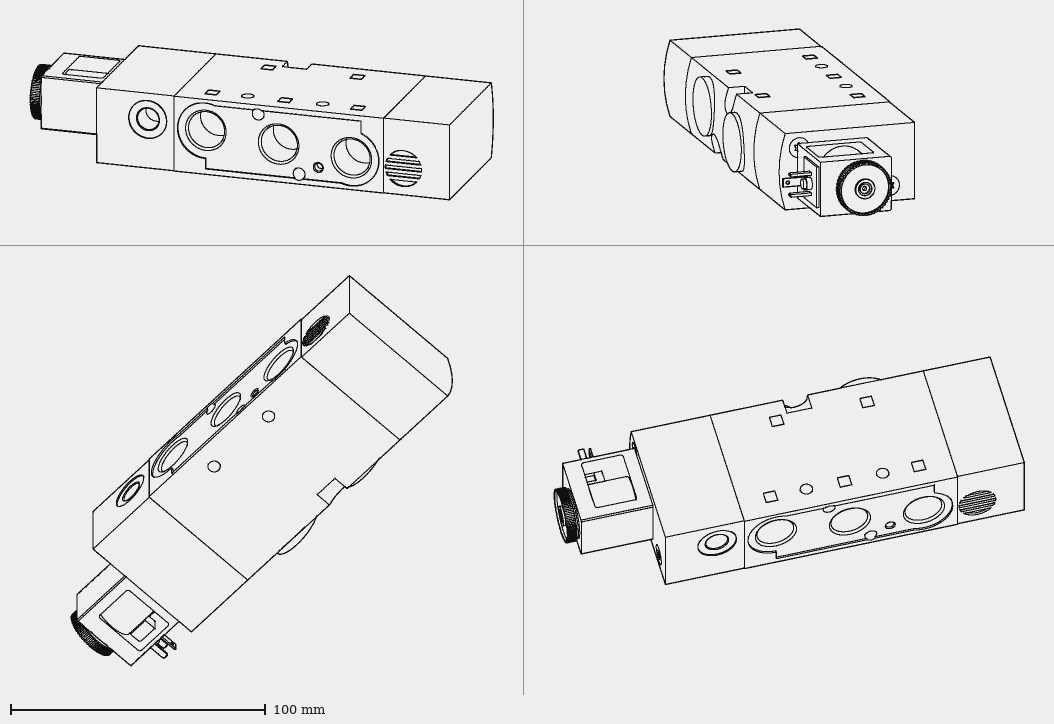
import cadquery as cq
import math

TOTAL_LENGTH = 179.6
HEIGHT = 31.0
MID_Z = HEIGHT / 2
BACK_CREST_Y = 56.2
BACK_EDGE_Y = 53.7
BLOCK_FRONT_Y = 0.27
BLOCK_MID_Y = 29.3

FRAME_X = 5.0
PILOT_X = 34.1
BODY_X = 66.1
CAP_X = 152.5
BODY_MID_X = 109.0

PORT_DIA = 15.0
PORT_CHAMFER = 0.9
PORT_DEPTH = 16.2
PORT_PITCH = 30.0
PORT_RISE = 2.5
GASKET_RADIUS = 11.5
GASKET_DEPTH = 0.7
GASKET_HALF_HEIGHT = 13.3
GASKET_END = 4.1
BOLT_DIA = 4.9
BOLT_OFFSET_X = 8.5
BOLT_OFFSET_Z = 11.5
BOLT_HEAD_WIDTH = 10.0
BOLT_HEAD_FLOOR_Y = 47.0
VENT_DIA = 3.2
VENT_X, VENT_Z = 125.4, 7.5
VENT_CHAMFER = 0.45
VENT_DEPTH = 3.6
MOUNT_DIA = 4.9
MOUNT_Y = 9.2
MOUNT_OFFSET_X = 15.5
PAD_DIA = 23.4
PAD_FACE_Y = 57.3
PAD_BASE_Y = 45.0
PAD_OFFSET_X = 18.9
PAD_OFFSET_Z = 2.3
TAG_SIZE = 4.7
TAG_DEPTH = 0.2
TAG_BACK_OFFSET_X = 18.3
TAG_FRONT_Y, TAG_BACK_Y = 9.2, 44.5

PILOT_PORT_X, PILOT_PORT_Z = 55.2, 20.1
PILOT_RING_DIA = 15.6
PILOT_RING_DEPTH = 0.5
PILOT_PORT_DIA = 8.8
PILOT_PORT_CHAMFER = 0.4
PILOT_PORT_DEPTH = 10.8

SCREW_DIA = 8.0
SCREW_LENGTH = 5.4
SCREW_OFFSET_Y = 18.7
SCREW_OFFSET_Z = 9.3
SOCKET_DIA = 4.0
SOCKET_INNER_DIA = 2.5
SOCKET_POINTS = 6
SOCKET_DEPTH = 0.9

GRILLE_X, GRILLE_Z = 160.6, 11.0
GRILLE_DIA = 15.0
GRILLE_BAR = 1.5
GRILLE_PITCH = 2.9
GRILLE_DEPTH = 0.9

SOLENOID_Y = 31.8
FRAME_FRONT_Y, FRAME_BACK_Y = 19.4, 48.7
FRAME_HEIGHT = 22.1
FRAME_CHAMFER = 0.5
WINDOW_X, WINDOW_END_X = 12.0, 29.0
WINDOW_FRONT_Y, WINDOW_BACK_Y = 24.3, 46.9
WINDOW_FILLET = 1.0
COIL_DIA = 20.0
COIL_PROUD = 0.5

KNOB_DIA = 21.5
KNOB_LENGTH = 3.8
KNOB_TEETH = 48
TOOTH_DEPTH = 0.4
TOOTH_GAP = 0.7
KNOB_DISH_DIA = 19.8
KNOB_DISH_DEPTH = 0.9
HUB_DIA = 7.9
KNOB_SOCKET_STEPS = ((5.4, 0.4), (4.0, 0.9), (1.75, 2.7))
STEM_DIA = 10.0

PLATE_X, PLATE_END_X = 7.0, 23.2
PLATE_HEIGHT = 16.5
PLATE_RISE = 0.4
PLATE_FACE_Y = 49.5
PLUG_END_X = 20.5
PLUG_HEIGHT = 6.1
PLUG_NOTCH_X, PLUG_NOTCH_Y = 17.2, 43.1
PLUG_NOTCH_DEPTH = 1.8
TERMINAL_X = 15.0
TERMINAL_PITCH = 8.3
TERMINAL_WIDTH = 2.3
TERMINAL_THICKNESS = 1.0
TERMINAL_TIP_Y = 58.4
TERMINAL_CHAMFER = 0.45
BOSS_STEPS = ((4.9, 51.7), (4.0, 53.0))
EARTH_X = 18.9
EARTH_THICKNESS = 0.7
EARTH_WIDTH = 3.5
EARTH_TIP_Y = 59.8
EARTH_CHAMFER = 0.27
EARTH_HOLE_DIA = 1.3
EARTH_HOLE_INSET = 2.2


def box(x0, x1, y0, y1, z0, z1):
    """Box between two corners."""
    return cq.Workplane("XY").box(x1 - x0, y1 - y0, z1 - z0, centered=False).translate((x0, y0, z0))


def cylinder_x(dia, y, z, x0, x1):
    """Cylinder along X."""
    return cq.Workplane("YZ", origin=(x0, y, z)).circle(dia / 2).extrude(x1 - x0)


def cylinder_y(dia, x, z, y0, y1):
    """Cylinder along Y."""
    return cq.Workplane("XZ", origin=(x, y0, z)).circle(dia / 2).extrude(y0 - y1)


def chamfered_bore(dia, chamfer, x, z, y0, depth):
    """Cutter for a blind hole that enters at y0 and runs toward +Y."""
    radius = dia / 2
    profile = [
        (0, y0),
        (radius + chamfer, y0),
        (radius, y0 + chamfer),
        (radius, y0 + depth),
        (0, y0 + depth),
    ]
    return cq.Workplane("XY").polyline(profile).close().revolve(360, (0, 0), (0, 1)).translate((x, 0, z))


def valve_block(x0, x1, front_y):
    """Length of the valve section with its gently rounded back."""
    return (
        cq.Workplane("YZ", origin=(x0, 0, 0))
        .moveTo(front_y, 0)
        .lineTo(BACK_EDGE_Y, 0)
        .threePointArc((BACK_CREST_Y, MID_Z), (BACK_EDGE_Y, HEIGHT))
        .lineTo(front_y, HEIGHT)
        .close()
        .extrude(x1 - x0)
    )


def gasket_recess():
    """Shallow recess: a bar that joins the circles around the outer ports."""
    left_x = BODY_MID_X - PORT_PITCH
    right_x = BODY_MID_X + PORT_PITCH
    bar = box(left_x, right_x + GASKET_END, 0, GASKET_DEPTH,
              MID_Z - GASKET_HALF_HEIGHT, MID_Z + GASKET_HALF_HEIGHT)
    left = cylinder_y(2 * GASKET_RADIUS, left_x, MID_Z + PORT_RISE, 0, GASKET_DEPTH)
    right = cylinder_y(2 * GASKET_RADIUS, right_x, MID_Z - PORT_RISE, 0, GASKET_DEPTH)
    return bar.union(left).union(right)


def bolt_cut(side):
    """Through bolt hole with a head slot open to the top (side 1) or base (side -1)."""
    x = BODY_MID_X - side * BOLT_OFFSET_X
    z = MID_Z + side * BOLT_OFFSET_Z
    outer_z = MID_Z + side * HEIGHT
    hole = cylinder_y(BOLT_DIA, x, z, 0, BACK_CREST_Y)
    seat = cylinder_y(BOLT_HEAD_WIDTH, x, z, BOLT_HEAD_FLOOR_Y, PAD_FACE_Y)
    slot = box(x - BOLT_HEAD_WIDTH / 2, x + BOLT_HEAD_WIDTH / 2, BOLT_HEAD_FLOOR_Y, PAD_FACE_Y,
               min(z, outer_z), max(z, outer_z))
    return hole.union(seat).union(slot)


def make_valve_body():
    body = valve_block(BODY_X, CAP_X, 0)
    for side in (-1, 1):
        pad = cylinder_y(PAD_DIA, BODY_MID_X + side * PAD_OFFSET_X, MID_Z + side * PAD_OFFSET_Z,
                         PAD_BASE_Y, PAD_FACE_Y)
        body = body.union(pad)
    body = body.cut(gasket_recess())
    for step in (-1, 0, 1):
        body = body.cut(chamfered_bore(PORT_DIA, PORT_CHAMFER, BODY_MID_X + step * PORT_PITCH,
                                       MID_Z - step * PORT_RISE, GASKET_DEPTH, PORT_DEPTH))
    body = body.cut(chamfered_bore(VENT_DIA, VENT_CHAMFER, VENT_X, VENT_Z,
                                   GASKET_DEPTH, VENT_DEPTH))
    for side in (-1, 1):
        body = body.cut(bolt_cut(side))
        mount = cq.Workplane("XY", origin=(BODY_MID_X + side * MOUNT_OFFSET_X, MOUNT_Y, 0))
        body = body.cut(mount.circle(MOUNT_DIA / 2).extrude(HEIGHT))

    tags = [(BODY_MID_X + step * PORT_PITCH, TAG_FRONT_Y) for step in (-1, 0, 1)]
    tags += [(BODY_MID_X + side * TAG_BACK_OFFSET_X, TAG_BACK_Y) for side in (-1, 1)]
    tag_cut = cq.Workplane("XY", origin=(0, 0, HEIGHT)).pushPoints(tags)
    return body.cut(tag_cut.rect(TAG_SIZE, TAG_SIZE).extrude(-TAG_DEPTH))


SCREW_CENTRES = [(BLOCK_MID_Y + side * SCREW_OFFSET_Y, MID_Z + side * SCREW_OFFSET_Z) for side in (-1, 1)]


def make_pilot_block():
    block = valve_block(PILOT_X, BODY_X, BLOCK_FRONT_Y)
    ring_floor_y = BLOCK_FRONT_Y + PILOT_RING_DEPTH
    block = block.cut(cylinder_y(PILOT_RING_DIA, PILOT_PORT_X, PILOT_PORT_Z, BLOCK_FRONT_Y, ring_floor_y))
    block = block.cut(chamfered_bore(PILOT_PORT_DIA, PILOT_PORT_CHAMFER, PILOT_PORT_X, PILOT_PORT_Z,
                                     ring_floor_y, PILOT_PORT_DEPTH))
    for y, z in SCREW_CENTRES:
        block = block.cut(cylinder_x(SCREW_DIA, y, z, PILOT_X, PILOT_X + SCREW_LENGTH))
    return block


def make_screw(y, z):
    """Flush screw head with a six-pointed socket."""
    star = []
    for corner in range(2 * SOCKET_POINTS):
        radius = (SOCKET_INNER_DIA if corner % 2 else SOCKET_DIA) / 2
        angle = math.pi / 2 + corner * math.pi / SOCKET_POINTS
        star.append((radius * math.cos(angle), radius * math.sin(angle)))
    socket = cq.Workplane("YZ", origin=(PILOT_X, y, z)).polyline(star).close().extrude(SOCKET_DEPTH)
    return cylinder_x(SCREW_DIA, y, z, PILOT_X, PILOT_X + SCREW_LENGTH).cut(socket)


def make_end_cap():
    cap = valve_block(CAP_X, TOTAL_LENGTH, BLOCK_FRONT_Y)
    grille_floor_y = BLOCK_FRONT_Y + GRILLE_DEPTH
    radius = GRILLE_DIA / 2
    grille = cylinder_y(GRILLE_DIA, GRILLE_X, GRILLE_Z, BLOCK_FRONT_Y, grille_floor_y)
    for step in (-1.5, -0.5, 0.5, 1.5):
        bar_z = GRILLE_Z + step * GRILLE_PITCH
        grille = grille.cut(box(GRILLE_X - radius, GRILLE_X + radius, BLOCK_FRONT_Y, grille_floor_y,
                                bar_z - GRILLE_BAR / 2, bar_z + GRILLE_BAR / 2))
    return cap.cut(grille)


def make_coil():
    return cylinder_x(COIL_DIA, SOLENOID_Y, MID_Z, FRAME_X - COIL_PROUD, WINDOW_END_X)


def plug_block():
    """Part of the connector that passes through the frame wall toward the coil."""
    return box(WINDOW_X, PLUG_END_X, SOLENOID_Y + COIL_DIA / 2, FRAME_BACK_Y,
               MID_Z - PLUG_HEIGHT / 2, MID_Z + PLUG_HEIGHT / 2)


def make_frame():
    bottom_z = MID_Z - FRAME_HEIGHT / 2
    top_z = MID_Z + FRAME_HEIGHT / 2
    frame = box(FRAME_X, PILOT_X, FRAME_FRONT_Y, FRAME_BACK_Y, bottom_z, top_z)
    frame = frame.faces("<Y").edges("|X").chamfer(FRAME_CHAMFER)
    window = box(WINDOW_X, WINDOW_END_X, WINDOW_FRONT_Y, WINDOW_BACK_Y, bottom_z, top_z)
    window = window.edges("|Z").fillet(WINDOW_FILLET)
    return frame.cut(window).cut(make_coil()).cut(plug_block())


def make_knob():
    knob = cylinder_x(KNOB_DIA, SOLENOID_Y, MID_Z, 0, KNOB_LENGTH)
    groove = box(0, KNOB_LENGTH, KNOB_DIA / 2 - TOOTH_DEPTH, KNOB_DIA / 2 + TOOTH_DEPTH,
                 -TOOTH_GAP / 2, TOOTH_GAP / 2)
    for tooth in range(KNOB_TEETH):
        turned = groove.rotate((0, 0, 0), (1, 0, 0), tooth * 360 / KNOB_TEETH)
        knob = knob.cut(turned.translate((0, SOLENOID_Y, MID_Z)))
    dish = cylinder_x(KNOB_DISH_DIA, SOLENOID_Y, MID_Z, 0, KNOB_DISH_DEPTH)
    hub = cylinder_x(HUB_DIA, SOLENOID_Y, MID_Z, 0, KNOB_DISH_DEPTH)
    knob = knob.cut(dish.cut(hub))
    for dia, depth in KNOB_SOCKET_STEPS:
        knob = knob.cut(cylinder_x(dia, SOLENOID_Y, MID_Z, 0, depth))
    stem = cylinder_x(STEM_DIA, SOLENOID_Y, MID_Z, KNOB_LENGTH, FRAME_X - COIL_PROUD)
    return knob.union(stem)


def make_connector():
    plate_bottom_z = MID_Z + PLATE_RISE - PLATE_HEIGHT / 2
    plate = box(PLATE_X, PLATE_END_X, FRAME_BACK_Y, PLATE_FACE_Y,
                plate_bottom_z, plate_bottom_z + PLATE_HEIGHT)
    plug_top_z = MID_Z + PLUG_HEIGHT / 2
    notch = box(WINDOW_X, PLUG_NOTCH_X, PLUG_NOTCH_Y, WINDOW_BACK_Y,
                plug_top_z - PLUG_NOTCH_DEPTH, plug_top_z)
    connector = plate.union(plug_block().cut(notch))
    for side in (-1, 1):
        z = MID_Z + side * TERMINAL_PITCH / 2
        terminal = box(TERMINAL_X - TERMINAL_WIDTH / 2, TERMINAL_X + TERMINAL_WIDTH / 2,
                       PLATE_FACE_Y, TERMINAL_TIP_Y,
                       z - TERMINAL_THICKNESS / 2, z + TERMINAL_THICKNESS / 2)
        connector = connector.union(terminal.faces(">Y").edges().chamfer(TERMINAL_CHAMFER))
    for dia, top_y in BOSS_STEPS:
        connector = connector.union(cylinder_y(dia, TERMINAL_X, MID_Z, PLATE_FACE_Y, top_y))

    earth_x0 = EARTH_X - EARTH_THICKNESS / 2
    earth_x1 = EARTH_X + EARTH_THICKNESS / 2
    earth = box(earth_x0, earth_x1, PLATE_FACE_Y, EARTH_TIP_Y,
                MID_Z - EARTH_WIDTH / 2, MID_Z + EARTH_WIDTH / 2)
    earth = earth.faces(">Y").edges("|Z").chamfer(EARTH_CHAMFER)
    earth = earth.cut(cylinder_x(EARTH_HOLE_DIA, EARTH_TIP_Y - EARTH_HOLE_INSET, MID_Z, earth_x0, earth_x1))
    return connector.union(earth)


valve_body = make_valve_body()
pilot_block = make_pilot_block()
end_cap = make_end_cap()
screws = [make_screw(y, z) for y, z in SCREW_CENTRES]
frame = make_frame()
coil = make_coil()
knob = make_knob()
connector = make_connector()

result = cq.Compound.makeCompound([
    valve_body.val(),
    pilot_block.val(),
    end_cap.val(),
    *[screw.val() for screw in screws],
    frame.val(),
    coil.val(),
    knob.val(),
    connector.val(),
])